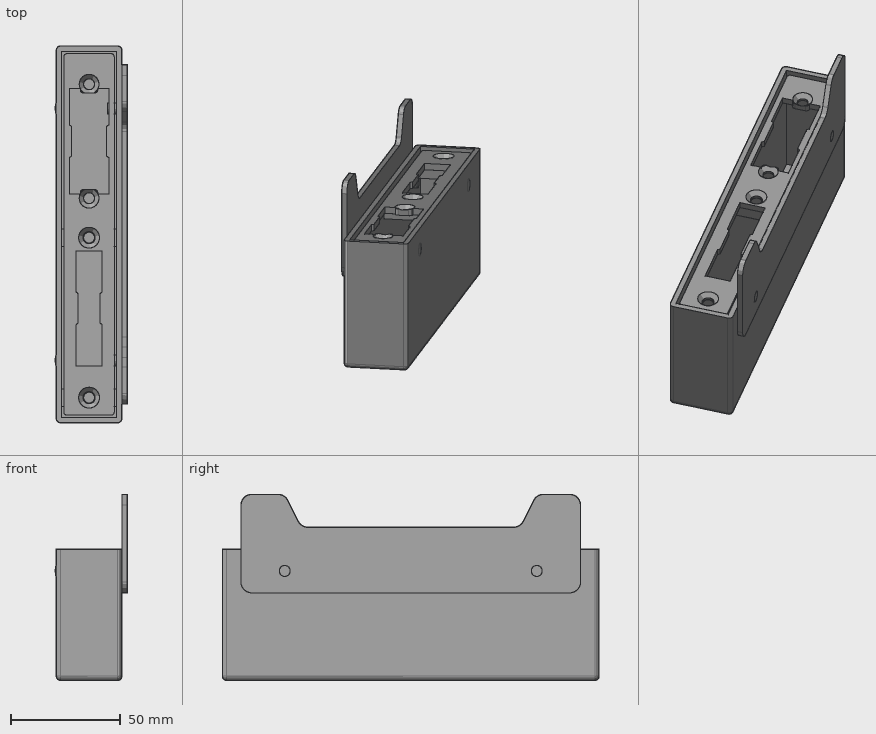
import cadquery as cq
import math


HOUSING_WIDTH = 30.0
HOUSING_LENGTH = 172.0
HOUSING_HEIGHT = 60.0
WALL = 2.5
EDGE_RADIUS = 2.0
CAVITY_WIDTH = HOUSING_WIDTH - 2 * WALL
CAVITY_LENGTH = HOUSING_LENGTH - 2 * WALL

COVER_CLEARANCE = 1.0
COVER_THICKNESS = 3.0
COVER_RECESS = 1.5
COVER_CORNER_RADIUS = 1.5
COVER_WIDTH = CAVITY_WIDTH - 2 * COVER_CLEARANCE
COVER_LENGTH = CAVITY_LENGTH - 2 * COVER_CLEARANCE
COVER_TOP = HOUSING_HEIGHT - COVER_RECESS
COVER_BOTTOM = COVER_TOP - COVER_THICKNESS

BEAM_YS = (-1.5, -74.5)
BEAM_LENGTH = 8.0
BEAM_HEIGHT = 7.0
BEAM_HOLE_DIAMETER = 5.0

COUNTERSINK_ANGLE = 90.0
FIXING_HOLE_DIAMETER = 5.5
FIXING_SINK_DIAMETER = 9.5
LATCH_HOLE_DIAMETER = 5.0
LATCH_SINK_DIAMETER = 9.0
LATCH_HOLE_PITCH = 52.0

WAIST_LENGTH = 13.5
WAIST_TAPER = 0.75
WIDE_OPENING_Y = 42.5
WIDE_OPENING_LENGTH = 48.0
WIDE_OPENING_WIDTH = 18.0
WIDE_OPENING_WAIST = 16.0
NARROW_OPENING_Y = -33.75
NARROW_OPENING_LENGTH = 52.5
NARROW_OPENING_WIDTH = 12.0
NARROW_OPENING_WAIST = 10.0

TAB_WIDTH = 8.0
TAB_REACH = 2.0
TAB_CORNER_RADIUS = 1.5

BRACKET_THICKNESS = 2.5
BRACKET_LENGTH = 155.0
BRACKET_OVERLAP = 20.0
EAR_RISE = 24.99
BRIDGE_RISE = 10.0
EAR_WIDTH = 20.0
EAR_SLOPE = 2.0
BRACKET_RADIUS = 5.0
BRACKET_INNER_X = HOUSING_WIDTH / 2
BRACKET_OUTER_X = BRACKET_INNER_X + BRACKET_THICKNESS

PIN_DIAMETER = 5.0
PIN_PROJECTION = 4.0
PIN_YS = (57.5, -57.5)
PIN_Z = HOUSING_HEIGHT - BRACKET_OVERLAP / 2
STUD_DIAMETER = 6.0
STUD_HEIGHT = 0.51


def pin_cylinder(start_x, end_x, y):
    """Pin-sized cylinder along X at one of the fastening points."""
    plane = cq.Workplane("YZ", origin=(start_x, y, PIN_Z))
    return plane.circle(PIN_DIAMETER / 2).extrude(end_x - start_x)


def make_stud(y):
    """Shallow spherical cap standing on the -X wall."""
    rim = STUD_DIAMETER / 2
    sphere_radius = (rim**2 + STUD_HEIGHT**2) / (2 * STUD_HEIGHT)
    wall_face = -HOUSING_WIDTH / 2
    crown_x = wall_face - STUD_HEIGHT
    sphere = cq.Workplane("XY", origin=(crown_x + sphere_radius, y, PIN_Z)).sphere(sphere_radius)
    cylinder = cq.Workplane("YZ", origin=(crown_x, y, PIN_Z)).circle(rim).extrude(STUD_HEIGHT + WALL / 2)
    return cylinder.intersect(sphere)


def make_housing():
    body = cq.Workplane("XY").box(HOUSING_WIDTH, HOUSING_LENGTH, HOUSING_HEIGHT, centered=(True, True, False))
    body = body.edges("|Z or <Z").fillet(EDGE_RADIUS)
    cavity = cq.Workplane("XY", origin=(0, 0, WALL)).rect(CAVITY_WIDTH, CAVITY_LENGTH).extrude(HOUSING_HEIGHT)
    body = body.cut(cavity)
    for y in BEAM_YS:
        beam = cq.Workplane("XY", origin=(0, y, COVER_BOTTOM)).rect(CAVITY_WIDTH, BEAM_LENGTH)
        beam = beam.circle(BEAM_HOLE_DIAMETER / 2).extrude(-BEAM_HEIGHT)
        body = body.union(beam)
    for y in PIN_YS:
        body = body.union(make_stud(y))
        body = body.cut(pin_cylinder(CAVITY_WIDTH / 2, HOUSING_WIDTH / 2, y))
    return body


def waisted_opening(y, length, width, waist_width):
    """Rectangular cutter that tapers in to a narrower middle stretch."""
    waist_end = WAIST_LENGTH / 2
    taper_end = waist_end + WAIST_TAPER
    corner = (width / 2, length / 2)
    shoulder = (width / 2, taper_end)
    neck = (waist_width / 2, waist_end)
    right_upper = [corner, shoulder, neck]
    right = right_upper + [(px, -py) for px, py in reversed(right_upper)]
    left = [(-px, py) for px, py in reversed(right)]
    base = cq.Workplane("XY", origin=(0, y, COVER_BOTTOM))
    return base.polyline(right + left).close().extrude(COVER_THICKNESS)


def wide_opening():
    """Waisted opening with a round-cornered tab left standing at each end."""
    opening = waisted_opening(WIDE_OPENING_Y, WIDE_OPENING_LENGTH, WIDE_OPENING_WIDTH, WIDE_OPENING_WAIST)
    for side in (1, -1):
        end_y = WIDE_OPENING_Y + side * WIDE_OPENING_LENGTH / 2
        tab = cq.Workplane("XY", origin=(0, end_y, COVER_BOTTOM)).rect(TAB_WIDTH, 2 * TAB_REACH)
        opening = opening.cut(tab.extrude(COVER_THICKNESS).edges("|Z").fillet(TAB_CORNER_RADIUS))
    return opening


def countersunk_hole(y, hole_diameter, sink_diameter):
    """Cutter on the cover centreline: a through drill with a countersink at the top face."""
    hole_radius = hole_diameter / 2
    sink_radius = sink_diameter / 2
    sink_depth = (sink_radius - hole_radius) / math.tan(math.radians(COUNTERSINK_ANGLE / 2))
    drill = cq.Workplane("XY", origin=(0, y, COVER_BOTTOM)).circle(hole_radius).extrude(COVER_THICKNESS)
    down = cq.Vector(0, 0, -1)
    cone = cq.Solid.makeCone(sink_radius, hole_radius, sink_depth, cq.Vector(0, y, COVER_TOP), down)
    return drill.union(cq.Workplane(cone))


def make_cover():
    cover = cq.Workplane("XY", origin=(0, 0, COVER_BOTTOM)).rect(COVER_WIDTH, COVER_LENGTH)
    cover = cover.extrude(COVER_THICKNESS).edges("|Z").fillet(COVER_CORNER_RADIUS)
    cover = cover.cut(wide_opening())
    cover = cover.cut(
        waisted_opening(NARROW_OPENING_Y, NARROW_OPENING_LENGTH, NARROW_OPENING_WIDTH, NARROW_OPENING_WAIST)
    )
    for side in (1, -1):
        latch_y = WIDE_OPENING_Y + side * LATCH_HOLE_PITCH / 2
        cover = cover.cut(countersunk_hole(latch_y, LATCH_HOLE_DIAMETER, LATCH_SINK_DIAMETER))
    for y in BEAM_YS:
        cover = cover.cut(countersunk_hole(y, FIXING_HOLE_DIAMETER, FIXING_SINK_DIAMETER))
    return cover


def make_bracket():
    half = BRACKET_LENGTH / 2
    bottom = HOUSING_HEIGHT - BRACKET_OVERLAP
    ear_top = HOUSING_HEIGHT + EAR_RISE
    bridge_top = HOUSING_HEIGHT + BRIDGE_RISE
    ear_inner = half - EAR_WIDTH
    ear_foot = ear_inner - (EAR_RISE - BRIDGE_RISE) / EAR_SLOPE
    outline = [
        (-half, bottom),
        (half, bottom),
        (half, ear_top),
        (ear_inner, ear_top),
        (ear_foot, bridge_top),
        (-ear_foot, bridge_top),
        (-ear_inner, ear_top),
        (-half, ear_top),
    ]
    plate = cq.Workplane("YZ", origin=(BRACKET_INNER_X, 0, 0)).polyline(outline).close()
    plate = plate.extrude(BRACKET_THICKNESS).edges("|X").fillet(BRACKET_RADIUS)
    for y in PIN_YS:
        plate = plate.cut(pin_cylinder(BRACKET_INNER_X, BRACKET_OUTER_X, y))
    return plate


def make_pin(y):
    """Pin from the outer bracket face through the wall into the cavity."""
    return pin_cylinder(CAVITY_WIDTH / 2 - PIN_PROJECTION, BRACKET_OUTER_X, y)


housing = make_housing()
cover = make_cover()
bracket = make_bracket()
pins = [make_pin(y) for y in PIN_YS]

result = cq.Compound.makeCompound([housing.val(), cover.val(), bracket.val(), *[pin.val() for pin in pins]])